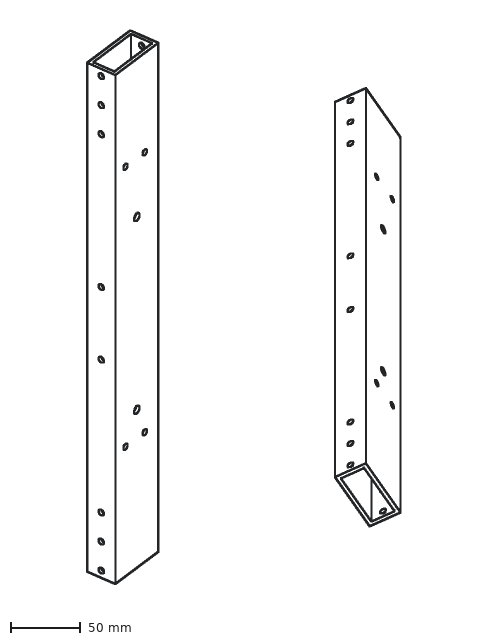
import cadquery as cq

WIDTH = 25.4
DEPTH = 50.8
LENGTH = 444.5
WALL = 3.175

EDGE_HOLE_DIAMETER = 4.7625
END_MARGIN = 6.35
END_PITCH = 25.4
END_HOLE_COUNT = 3
MIDDLE_HOLE_OFFSET = 31.75

LARGE_HOLE_DIAMETER = 6.35
LARGE_HOLE_OFFSET = 84.1375

SMALL_HOLE_DIAMETER = 4.7625
SMALL_HOLE_YS = (-13.335, 9.525)
SMALL_HOLE_ZS = (-109.0, 135.4)


def make_tube():
    """Open-ended rectangular tube with square corners."""
    outer = cq.Workplane("XY").box(WIDTH, DEPTH, LENGTH)
    bore = cq.Workplane("XY").box(WIDTH - 2 * WALL, DEPTH - 2 * WALL, LENGTH)
    return outer.cut(bore)


def edge_hole_points():
    """(x, z) centres of the holes along the narrow walls."""
    offsets = [MIDDLE_HOLE_OFFSET]
    for index in range(END_HOLE_COUNT):
        offsets.append(LENGTH / 2 - END_MARGIN - index * END_PITCH)
    return [(0, side * offset) for offset in offsets for side in (-1, 1)]


def drill_along_y(points, diameter):
    """Cylinders spanning the full depth at (x, z) points."""
    return cq.Workplane("XZ").pushPoints(points).circle(diameter / 2).extrude(DEPTH / 2, both=True)


def drill_along_x(points, diameter):
    """Cylinders spanning the full width at (y, z) points."""
    return cq.Workplane("YZ").pushPoints(points).circle(diameter / 2).extrude(WIDTH / 2, both=True)


large_hole_points = [(0, side * LARGE_HOLE_OFFSET) for side in (-1, 1)]
small_hole_points = [(y, z) for y in SMALL_HOLE_YS for z in SMALL_HOLE_ZS]

result = (
    make_tube()
    .cut(drill_along_y(edge_hole_points(), EDGE_HOLE_DIAMETER))
    .cut(drill_along_x(large_hole_points, LARGE_HOLE_DIAMETER))
    .cut(drill_along_x(small_hole_points, SMALL_HOLE_DIAMETER))
)